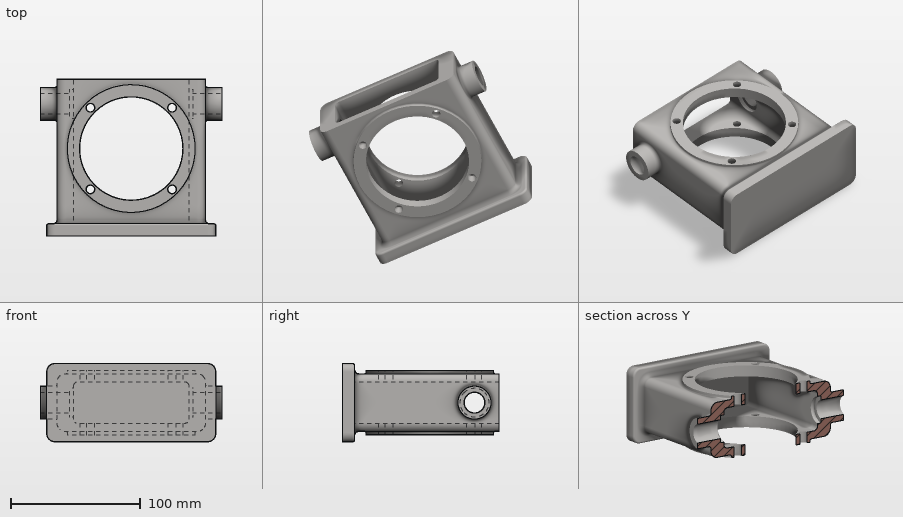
import cadquery as cq
import math

overall_width = 139.7
overall_depth = 120.7

body_width = 114.3
body_height = 44.4
face_wall = 6.3
side_wall = 12.7
body_corner_radius = 6.4
cavity_corner_radius = 3.2
cavity_width = body_width - 2 * side_wall
cavity_height = body_height - 2 * face_wall

flange_width = 130.2
flange_height = 60.4
flange_thickness = 9.5
flange_corner_radius = 6.4
flange_edge_radius = 1.5
flange_root_radius = 3.2

ring_diameter = 98.3
ring_rise = 2.5
ring_root_radius = 0.8
ring_back_distance = 53.4
ring_center_y = overall_depth - ring_back_distance
main_bore_diameter = 79.3
bolt_hole_diameter = 6.4
bolt_circle_diameter = 88.8
bolt_count = 4
first_bolt_angle = 45

boss_diameter = 25.4
boss_bore_diameter = 15.8
boss_root_radius = 1.5
boss_back_distance = 19.0
boss_center_y = overall_depth - boss_back_distance
counterbore_diameter = 22.2
counterbore_depth = 3.2

clearance = 2.8
selection_margin = 0.1


def block(width, height, y_start, y_end, corner_radius):
    """Box centred on X and Z; its edges along Y are rounded."""
    return (
        cq.Workplane("XY")
        .box(width, y_end - y_start, height)
        .edges("|Y")
        .fillet(corner_radius)
        .translate((0, (y_start + y_end) / 2, 0))
    )


def rooted_cylinder(radius, base, top, root_radius):
    """Cylinder from Z = 0 to top, flaring out in a concave fillet at the height of base."""
    fillet_mid = root_radius * (1 - math.sqrt(0.5))
    return (
        cq.Workplane("XZ")
        .moveTo(0, 0)
        .lineTo(radius + root_radius, 0)
        .lineTo(radius + root_radius, base)
        .threePointArc((radius + fillet_mid, base + fillet_mid), (radius, base + root_radius))
        .lineTo(radius, top)
        .lineTo(0, top)
        .close()
        .revolve(360, (0, 0, 0), (0, 1, 0))
    )


def make_shell():
    """Flange and body joined by a root fillet."""
    flange = block(flange_width, flange_height, 0, flange_thickness, flange_corner_radius)
    flange = flange.faces(">Y").edges().fillet(flange_edge_radius)
    body = block(body_width, body_height, flange_thickness / 2, overall_depth, body_corner_radius)
    reach_x = body_width / 2 + selection_margin
    reach_z = body_height / 2 + selection_margin
    root_edges = cq.selectors.BoxSelector(
        (-reach_x, flange_thickness - selection_margin, -reach_z),
        (reach_x, flange_thickness + selection_margin, reach_z),
    )
    return flange.union(body).edges(root_edges).fillet(flange_root_radius)


def make_ring():
    """Upper bearing ring, reaching down to the middle of the body."""
    half = body_height / 2
    ring = rooted_cylinder(ring_diameter / 2, half, half + ring_rise, ring_root_radius)
    return ring.translate((0, ring_center_y, 0))


def make_boss():
    """Boss on the +X side, reaching in to the middle of the body."""
    half = body_width / 2
    boss = rooted_cylinder(boss_diameter / 2, half, overall_width / 2, boss_root_radius)
    return boss.rotate((0, 0, 0), (0, 1, 0), 90).translate((0, boss_center_y, 0))


def make_cavity():
    """Interior passage, open at the back and closed by the flange."""
    cavity_end = overall_depth + clearance
    return block(cavity_width, cavity_height, flange_thickness, cavity_end, cavity_corner_radius)


def cylinder_through(plane, center, diameter, length):
    """Cylinder of the given total length, centred on the named plane."""
    return cq.Workplane(plane).center(*center).circle(diameter / 2).extrude(length / 2, both=True)


def make_bolt_holes():
    """Bolt holes through both rings."""
    return (
        cq.Workplane("XY")
        .center(0, ring_center_y)
        .polarArray(bolt_circle_diameter / 2, first_bolt_angle, 360, bolt_count)
        .circle(bolt_hole_diameter / 2)
        .extrude(flange_height / 2, both=True)
    )


result = make_shell()

ring = make_ring()
boss = make_boss()
for feature in (ring, ring.mirror("XY"), boss, boss.mirror("YZ")):
    result = result.union(feature)

ring_center = (0, ring_center_y)
boss_center = (boss_center_y, 0)
counterbore_span = cavity_width + 2 * counterbore_depth
cutters = (
    make_cavity(),
    cylinder_through("XY", ring_center, main_bore_diameter, flange_height),
    make_bolt_holes(),
    cylinder_through("YZ", boss_center, boss_bore_diameter, overall_width + clearance),
    cylinder_through("YZ", boss_center, counterbore_diameter, counterbore_span),
)
for cutter in cutters:
    result = result.cut(cutter)